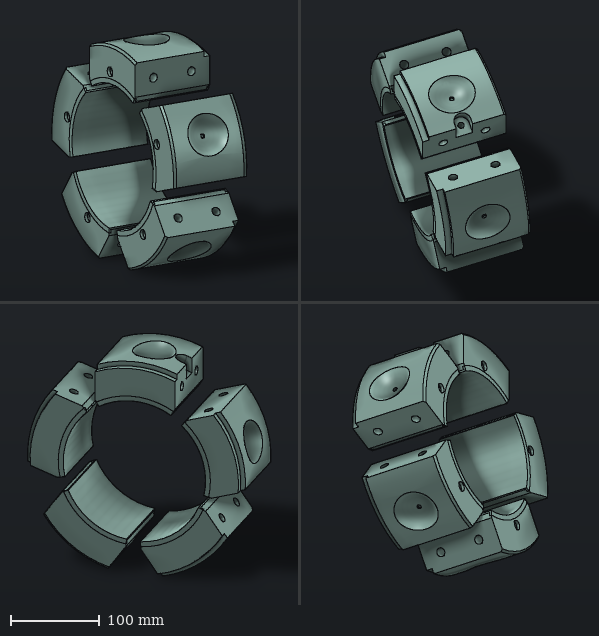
import cadquery as cq
import math

PAD_COUNT = 5
PAD_PITCH = 360 / PAD_COUNT
PAD_SHIFT = -1.0
PAD_ARC = 61.0
PAD_LENGTH = 99.8
PAD_WIDTH = 95.0

OUTER_R = 129.3
BORE_R = 84.3

REBATE_DEPTH = 5.7
REBATE_LENGTH = 7.5
CHAMFER = 2.5

LINER_THICKNESS = 2.0
LIP_THICKNESS = 6.0
LIP_LENGTH = 2.5

PIVOT_ANGLE = 2.8
SEAT_SPHERE_R = 35.0
SEAT_DEPTH = 12.1
SEAT_HOLE_D = 5.0
SEAT_HOLE_DEPTH = 2.5

CROSS_HOLE_D = 10.0
CROSS_HOLE_SPACING = 50.7
CROSS_HOLE_Z = 99.5

END_HOLE_D = 11.0
END_HOLE_X = -5.0
END_HOLE_Z = 98.0
END_HOLE_DEPTH = 4.0
DRILL_POINT_ANGLE = 90

POCKET_ANGLE = 18.8
POCKET_WIDTH = 19.6
POCKET_FLOOR_R = 112.5
POCKET_HOLE_D = 7.0
POCKET_HOLE_DEPTH = POCKET_FLOOR_R - BORE_R

FRONT_Y = -PAD_LENGTH / 2
BACK_Y = PAD_LENGTH / 2
LIP_INNER_Y = BACK_Y - LIP_LENGTH
LIP_R = BORE_R + LIP_THICKNESS
LINER_R = BORE_R + LINER_THICKNESS


def turned_sector(profile):
    """Revolve a (radius, y) profile into a sector centred on +Z."""
    sector = cq.Workplane("XY").polyline(profile).close().revolve(PAD_ARC, (0, 0, 0), (0, 1, 0))
    return sector.rotate((0, 0, 0), (0, 1, 0), -(90 + PAD_ARC / 2))


def liner_sector():
    return turned_sector([
        (BORE_R, FRONT_Y),
        (LIP_R, FRONT_Y),
        (LIP_R, -LIP_INNER_Y),
        (LINER_R, -LIP_INNER_Y),
        (LINER_R, LIP_INNER_Y),
        (LIP_R, LIP_INNER_Y),
        (LIP_R, BACK_Y),
        (BORE_R, BACK_Y),
    ])


def pad_blank():
    """Pad with its flat sides, rebate, chamfer and the stepped seat for the liner."""
    sector = turned_sector([
        (LIP_R, FRONT_Y),
        (OUTER_R - CHAMFER, FRONT_Y),
        (OUTER_R, FRONT_Y + CHAMFER),
        (OUTER_R, BACK_Y - REBATE_LENGTH),
        (OUTER_R - REBATE_DEPTH, BACK_Y - REBATE_LENGTH),
        (OUTER_R - REBATE_DEPTH, BACK_Y),
        (LIP_R, BACK_Y),
        (LIP_R, LIP_INNER_Y),
        (LINER_R, LIP_INNER_Y),
        (LINER_R, -LIP_INNER_Y),
        (LIP_R, -LIP_INNER_Y),
    ])
    return sector.intersect(cq.Workplane("XY").box(PAD_WIDTH, PAD_LENGTH, 2 * OUTER_R))


def pivot_seat():
    bottom_z = OUTER_R - SEAT_DEPTH
    sphere = cq.Workplane("XY").sphere(SEAT_SPHERE_R).translate((0, 0, bottom_z + SEAT_SPHERE_R))
    hole = (
        cq.Workplane("XY", origin=(0, 0, bottom_z - SEAT_HOLE_DEPTH))
        .circle(SEAT_HOLE_D / 2)
        .extrude(SEAT_DEPTH)
    )
    return sphere.union(hole).rotate((0, 0, 0), (0, 1, 0), -PIVOT_ANGLE)


def cross_holes():
    half_spacing = CROSS_HOLE_SPACING / 2
    return (
        cq.Workplane("YZ", origin=(-PAD_WIDTH, 0, CROSS_HOLE_Z))
        .pushPoints([(-half_spacing, 0), (half_spacing, 0)])
        .circle(CROSS_HOLE_D / 2)
        .extrude(2 * PAD_WIDTH)
    )


def end_hole():
    radius = END_HOLE_D / 2
    tip_depth = END_HOLE_DEPTH + radius / math.tan(math.radians(DRILL_POINT_ANGLE / 2))
    return (
        cq.Workplane("XY", origin=(END_HOLE_X, FRONT_Y, END_HOLE_Z))
        .polyline([(0, 0), (radius, 0), (radius, END_HOLE_DEPTH), (0, tip_depth)])
        .close()
        .revolve(360, (0, 0, 0), (0, 1, 0))
    )


def side_pocket():
    half_width = POCKET_WIDTH / 2
    height = 2 * (OUTER_R - POCKET_FLOOR_R)
    floor = cq.Workplane("XY", origin=(0, 0, POCKET_FLOOR_R))
    round_end = floor.circle(half_width).extrude(height)
    opening = (
        floor.center(-POCKET_WIDTH, 0)
        .rect(2 * POCKET_WIDTH, POCKET_WIDTH)
        .extrude(height)
    )
    hole = floor.circle(POCKET_HOLE_D / 2).extrude(-POCKET_HOLE_DEPTH)
    pocket = round_end.union(opening).union(hole)
    return pocket.rotate((0, 0, 0), (0, 1, 0), -POCKET_ANGLE)


def place_on_ring(body, index):
    """Shift a body sideways, then turn it from the top of the ring to its place, counting towards -X."""
    return body.translate((PAD_SHIFT, 0, 0)).rotate((0, 0, 0), (0, 1, 0), -index * PAD_PITCH)


plain_pad = pad_blank().cut(pivot_seat()).cut(cross_holes()).cut(end_hole())
top_pad = plain_pad.cut(side_pocket())
liner = liner_sector()

pads = [place_on_ring(top_pad, 0)] + [place_on_ring(plain_pad, index) for index in range(1, PAD_COUNT)]
liners = [place_on_ring(liner, index) for index in range(PAD_COUNT)]

result = cq.Compound.makeCompound([body.val() for body in pads + liners])